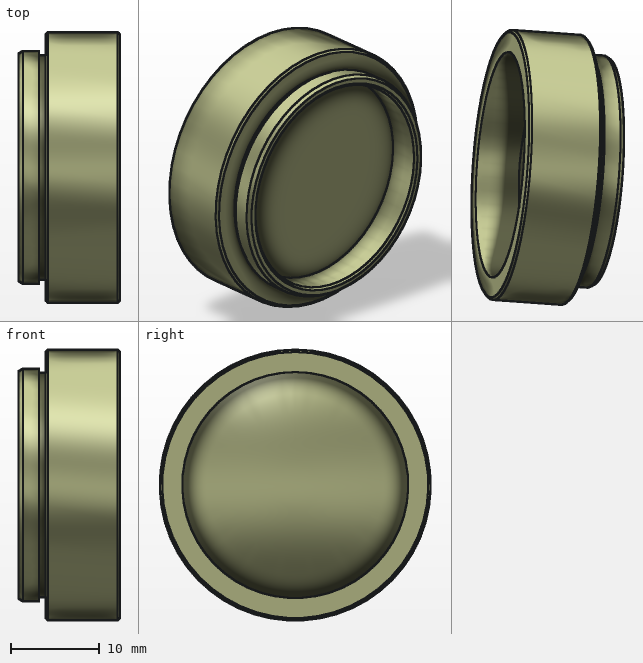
import cadquery as cq
import math


total_length = 11.43
flange_radius = 15.25
flange_start = 3.05
flange_chamfer = 0.27

thread_radius = 13.1
thread_end = 2.32
thread_chamfer_length = 0.5
thread_chamfer_depth = 0.3
relief_radius = 12.65

aperture_radius = 11.95
aperture_chamfer = 0.27

lens_radius = 12.7
lens_flat_x = 3.8
lens_edge_thickness = 2.0
lens_curvature_radius = 30.9
lens_sag = lens_curvature_radius - math.sqrt(lens_curvature_radius**2 - lens_radius**2)


def revolve_about_x(profile):
    """Turn a half profile, drawn as (x, radius), fully around the X axis."""
    return profile.close().revolve(360, (0, 0, 0), (1, 0, 0))


def make_housing():
    profile = (
        cq.Workplane("XZ")
        .moveTo(lens_flat_x, aperture_radius)
        .lineTo(aperture_chamfer, aperture_radius)
        .lineTo(0, aperture_radius + aperture_chamfer)
        .lineTo(0, thread_radius - thread_chamfer_depth)
        .lineTo(thread_chamfer_length, thread_radius)
        .lineTo(thread_end, thread_radius)
        .lineTo(thread_end, relief_radius)
        .lineTo(flange_start, relief_radius)
        .lineTo(flange_start, flange_radius - flange_chamfer)
        .lineTo(flange_start + flange_chamfer, flange_radius)
        .lineTo(total_length - flange_chamfer, flange_radius)
        .lineTo(total_length, flange_radius - flange_chamfer)
        .lineTo(total_length, lens_radius)
        .lineTo(lens_flat_x, lens_radius)
    )
    return revolve_about_x(profile)


def make_lens():
    edge_x = lens_flat_x + lens_edge_thickness
    apex_x = edge_x + lens_sag
    curvature_center_x = apex_x - lens_curvature_radius
    half_angle = math.asin(lens_radius / lens_curvature_radius) / 2
    arc_middle = (
        curvature_center_x + lens_curvature_radius * math.cos(half_angle),
        lens_curvature_radius * math.sin(half_angle),
    )
    profile = (
        cq.Workplane("XZ")
        .moveTo(lens_flat_x, 0)
        .lineTo(lens_flat_x, lens_radius)
        .lineTo(edge_x, lens_radius)
        .threePointArc(arc_middle, (apex_x, 0))
    )
    return revolve_about_x(profile)


housing = make_housing()
lens = make_lens()

result = cq.Compound.makeCompound([housing.val(), lens.val()])